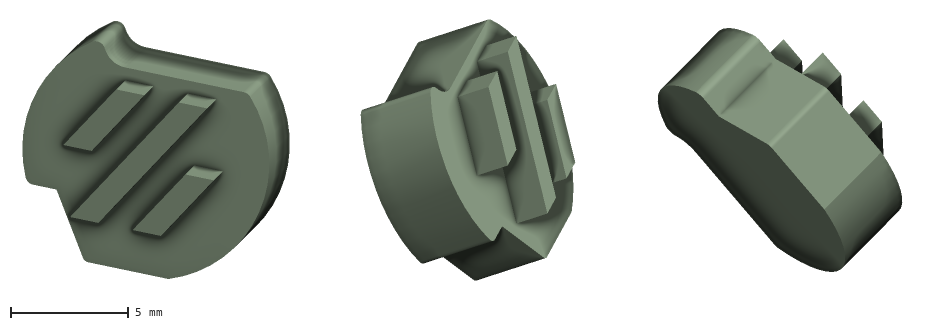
import cadquery as cq
import math

disc_radius = 5.44
thickness = 3.6
tilt = 30.0

top_flat = 3.69
bottom_flat = -5.15
ledge_flat = -2.26
ledge_inner_x = -3.65
lug_inner_x = -2.09
flank_angle = 60.0

corner_radius = 0.4
foot_radius = 0.3
lug_root_radius = 1.07

bar_width = 1.26
bar_height = 1.6
bar_slope = 1.51
bar_low = -2.86
short_bar_rise = 2.9
bar_high = 3.12
left_bar_x = -3.3
centre_bar_x = -2.55
right_bar_x = 0.24

flank_slope = math.tan(math.radians(flank_angle))
tilt_sin = math.sin(math.radians(tilt))
tilt_cos = math.cos(math.radians(tilt))


def rim_x(height):
    """Half width of the disc at a given height above its centre."""
    return math.sqrt(disc_radius**2 - height**2)


flank_offset = lug_inner_x + top_flat / flank_slope
flank_distance = flank_offset * math.sin(math.radians(flank_angle))
flank_along = math.sqrt(disc_radius**2 - flank_distance**2)
lug_tip_y = (
    flank_distance * math.cos(math.radians(flank_angle))
    + flank_along * math.sin(math.radians(flank_angle))
)
lug_tip = (flank_offset - lug_tip_y / flank_slope, lug_tip_y)

foot_x = ledge_inner_x + (ledge_flat - bottom_flat) / flank_slope
ledge_corner = (-rim_x(ledge_flat), ledge_flat)
foot_corner = (foot_x, bottom_flat)
top_right_corner = (rim_x(top_flat), top_flat)
lug_root = (lug_inner_x, top_flat)

face = cq.Plane(origin=(0, 0, 0), xDir=(1, 0, 0), normal=(0, -tilt_cos, tilt_sin))


def make_body():
    body = (
        cq.Workplane(face)
        .moveTo(*foot_corner)
        .lineTo(rim_x(bottom_flat), bottom_flat)
        .threePointArc((disc_radius, 0), top_right_corner)
        .lineTo(*lug_root)
        .lineTo(*lug_tip)
        .threePointArc((-disc_radius, 0), ledge_corner)
        .lineTo(ledge_inner_x, ledge_flat)
        .close()
        .extrude(-thickness)
    )
    rounds = (
        (lug_root, lug_root_radius),
        (lug_tip, corner_radius),
        (top_right_corner, corner_radius),
        (ledge_corner, corner_radius),
        (foot_corner, foot_radius),
    )
    for (x, y), radius in rounds:
        middle = face.toWorldCoords((x, y, -thickness / 2))
        corner_edge = cq.selectors.NearestToPointSelector(middle.toTuple())
        body = body.edges(corner_edge).fillet(radius)
    return body


def make_bar(left_x, low, high):
    """Parallelogram bar whose lower left corner is at (left_x, low)."""
    shift = (high - low) / bar_slope
    return (
        cq.Workplane(face)
        .moveTo(left_x, low)
        .lineTo(left_x + bar_width, low)
        .lineTo(left_x + bar_width + shift, high)
        .lineTo(left_x + shift, high)
        .close()
        .extrude(bar_height)
    )


result = make_body()
for left_x, low, high in (
    (left_bar_x, bar_high - short_bar_rise, bar_high),
    (centre_bar_x, bar_low, bar_high),
    (right_bar_x, bar_low, bar_low + short_bar_rise),
):
    result = result.union(make_bar(left_x, low, high))